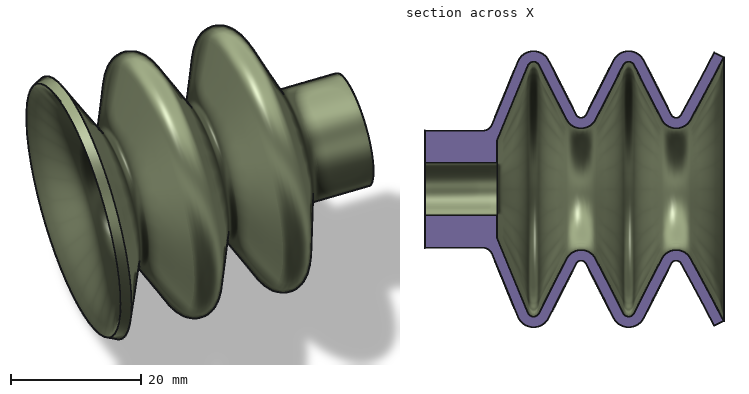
import cadquery as cq
import math

total_length = 46.0
wall = 1.7

neck_radius = 11.05
neck_round = 0.85
crest_radius = 21.3
crest_round = 2.6
first_neck_height = 7.35
neck_to_crest = 7.3
fold_count = 2

lip_radius = 21.05
lip_angle = math.radians(28)
collar_radius = 9.05
collar_bottom = 37.08
shoulder_round = 1.45
bore_radius = 4.0
cavity_top_radius = 7.5

neck_center = neck_radius + neck_round
crest_center = crest_radius - crest_round
shoulder_center = collar_radius + shoulder_round
neck_heights = [first_neck_height + 2 * neck_to_crest * i for i in range(fold_count)]
crest_heights = [height + neck_to_crest for height in neck_heights]


def crossing_tangent_angle(across, along, radius_sum):
    """Slope of the line touching two circles on opposite sides of their centre line."""
    return math.atan2(along, across) - math.asin(radius_sum / math.hypot(across, along))


fold_angle = crossing_tangent_angle(
    crest_center - neck_center, neck_to_crest, crest_round + neck_round
)
shoulder_angle = crossing_tangent_angle(
    crest_center - shoulder_center,
    collar_bottom - crest_heights[-1],
    crest_round + shoulder_round,
)


def round_point(center, radius, angle):
    return (center[0] + radius * math.cos(angle), center[1] + radius * math.sin(angle))


def add_round(profile, center, radius, start, end):
    """Run straight to the start of a round, then follow it to its end angle."""
    middle = round_point(center, radius, (start + end) / 2)
    profile = profile.lineTo(*round_point(center, radius, start))
    return profile.threePointArc(middle, round_point(center, radius, end))


def add_folds(profile, neck_arc, crest_arc):
    """Follow every neck and crest upwards from the lip."""
    to_cone = math.pi / 2 - fold_angle
    for neck_height, crest_height in zip(neck_heights, crest_heights):
        first = neck_height == neck_heights[0]
        last = crest_height == crest_heights[-1]
        neck_start = 1.5 * math.pi - lip_angle if first else math.pi + to_cone
        crest_end = math.pi / 2 - shoulder_angle if last else to_cone
        neck = (neck_center, neck_height)
        crest = (crest_center, crest_height)
        profile = add_round(profile, neck, neck_arc, neck_start, math.pi - to_cone)
        profile = add_round(profile, crest, crest_arc, -to_cone, crest_end)
    return profile


def cone_height_below_neck(radius, neck_arc):
    """Height of the lip cone, tangent to the first neck, at the given radius."""
    touch = round_point(
        (neck_center, first_neck_height), neck_arc, 1.5 * math.pi - lip_angle
    )
    return touch[1] - (radius - touch[0]) * math.tan(lip_angle)


inner_neck_round = neck_round + wall
inner_crest_round = crest_round - wall

edge_radius = cone_height_below_neck(0, inner_neck_round) / math.tan(lip_angle)
lip_height = cone_height_below_neck(lip_radius, neck_round)

outer = cq.Workplane("XY").lineTo(edge_radius, 0).lineTo(lip_radius, lip_height)
outer = add_folds(outer, neck_round, crest_round)
outer = add_round(
    outer,
    (shoulder_center, collar_bottom),
    shoulder_round,
    1.5 * math.pi - shoulder_angle,
    math.pi,
)
outer = outer.lineTo(collar_radius, total_length).lineTo(0, total_length).close()
body = outer.revolve(360, (0, 0, 0), (0, 1, 0))

cavity_top = round_point(
    (crest_center, crest_heights[-1]), inner_crest_round, math.pi / 2 - shoulder_angle
)
ceiling = cavity_top[1] + (cavity_top[0] - cavity_top_radius) * math.tan(shoulder_angle)
inner = cq.Workplane("XY").lineTo(edge_radius, 0)
inner = add_folds(inner, inner_neck_round, inner_crest_round)
inner = inner.lineTo(cavity_top_radius, ceiling).lineTo(0, ceiling).close()
cavity = inner.revolve(360, (0, 0, 0), (0, 1, 0))

bore = cq.Workplane("XZ").circle(bore_radius).extrude(-total_length)

to_center = (0, -total_length / 2, 0)
result = body.cut(cavity).cut(bore).translate(to_center)